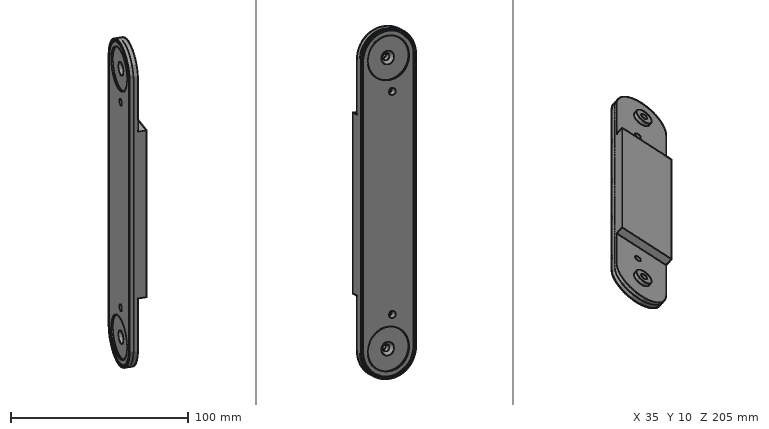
import cadquery as cq

length = 205.0
width = 35.0
total_thickness = 10.0
plate_thickness = total_thickness / 2

pad_length = 105.8

groove_outer_inset = 0.55
groove_inner_inset = 1.6
groove_depth = 2.5

recess_diameter = 26.0
recess_depth = 1.0
hole_diameter = 4.0
countersink_diameter = 8.0
countersink_depth = 2.0

boss_diameter = 10.7
boss_height = 2.5

pin_hole_diameter = 4.0
pin_hole_offset = 2.5
pin_hole_spacing = 130.2

end_centre_z = (length - width) / 2
pin_hole_z = pin_hole_spacing / 2


def plane_at(depth):
    """Plane parallel to the front face whose extrusions run toward the back (+Y)."""
    return cq.Workplane(cq.Plane(origin=(0, depth, 0), xDir=(1, 0, 0), normal=(0, 1, 0)))


def rounded_bar(inset, depth):
    """Full-round bar from the front face, inset from the outer edge of the plate."""
    return plane_at(0).slot2D(length - 2 * inset, width - 2 * inset, 90).extrude(depth)


def disc(x, z, diameter, start, depth):
    """Cylinder along Y; the local Y axis of the plane points along -Z."""
    return plane_at(start).center(x, -z).circle(diameter / 2).extrude(depth)


def back_pad():
    pad_height = total_thickness - plate_thickness
    return plane_at(plate_thickness).rect(width, pad_length).extrude(pad_height)


def edge_groove():
    outer = rounded_bar(groove_outer_inset, groove_depth)
    return outer.cut(rounded_bar(groove_inner_inset, groove_depth))


def countersunk_hole(z):
    """Cone from the recess floor, then a straight hole through plate and boss."""
    cone = (
        plane_at(recess_depth)
        .center(0, -z)
        .circle(countersink_diameter / 2)
        .workplane(offset=countersink_depth)
        .circle(hole_diameter / 2)
        .loft()
    )
    return cone.union(disc(0, z, hole_diameter, 0, total_thickness))


result = rounded_bar(0, plate_thickness).union(back_pad()).cut(edge_groove())

for side in (1, -1):
    end_z = side * end_centre_z
    result = result.union(disc(0, end_z, boss_diameter, plate_thickness, boss_height))
    result = result.cut(disc(0, end_z, recess_diameter, 0, recess_depth))
    result = result.cut(countersunk_hole(end_z))
    result = result.cut(disc(pin_hole_offset, side * pin_hole_z, pin_hole_diameter, 0, total_thickness))